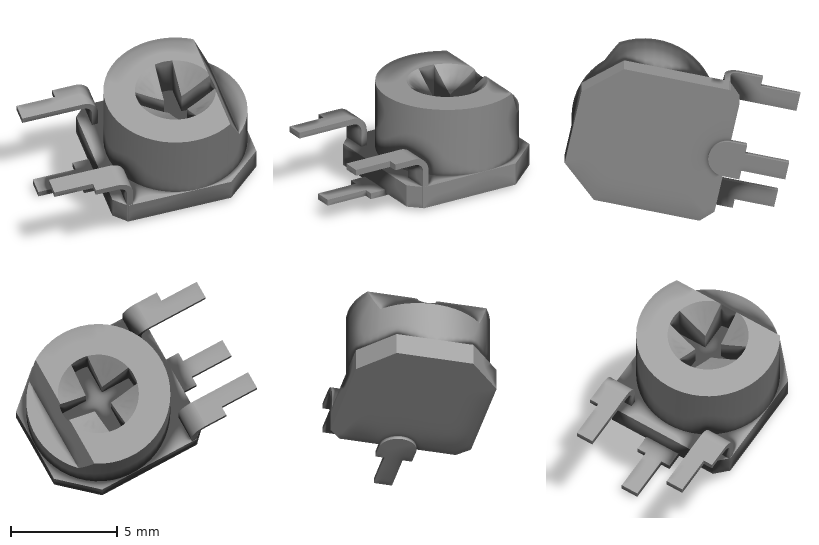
import cadquery as cq
import math

base_width = 6.81
base_back = 3.4
base_front = -4.01
base_bottom = 0.16
base_top = 1.26
back_flat_half = 1.85
back_corner_y = 1.67
front_chamfer = 0.6

housing_radius = 3.39
housing_top = 4.65
ledge_z = 3.3
ledge_front_y = 2.39
slope_top_y = 1.79

recess_radius = 1.91
cone_depth = 1.48
slot_width = 0.87
slot_depth = 2.04

pin_thickness = 0.3
pin_width = 0.87
pin_end = -6.9
side_pin_top = 2.8
side_pin_back = -3.16
side_pin_inner_x = 2.07
side_pin_step_y = -5.01
bend_outer = 0.74
bend_inner = bend_outer - pin_thickness
centre_pad_width = 1.77
centre_step_y = -4.79


def make_base():
    half = base_width / 2
    right_side = [
        (back_flat_half, base_back),
        (half, back_corner_y),
        (half, base_front + front_chamfer),
        (half - front_chamfer, base_front),
    ]
    left_side = [(-x, y) for x, y in reversed(right_side)]
    outline = cq.Workplane("XY").workplane(offset=base_bottom).polyline(right_side + left_side).close()
    return outline.extrude(base_top - base_bottom)


def make_housing():
    housing = (
        cq.Workplane("XY")
        .workplane(offset=base_bottom)
        .circle(housing_radius)
        .extrude(housing_top - base_bottom)
    )
    ledge_cut = (
        cq.Workplane("YZ")
        .polyline([
            (slope_top_y, housing_top),
            (ledge_front_y, ledge_z),
            (base_back, ledge_z),
            (base_back, housing_top),
        ])
        .close()
        .extrude(housing_radius, both=True)
    )
    return housing.cut(ledge_cut)


def make_recess():
    cone = cq.Workplane(
        cq.Solid.makeCone(0, recess_radius, cone_depth, pnt=cq.Vector(0, 0, housing_top - cone_depth))
    )
    floor = cq.Workplane("XY").workplane(offset=housing_top - slot_depth)
    slot_length = 2 * recess_radius
    cross = floor.rect(slot_length, slot_width).extrude(slot_depth)
    cross = cross.union(floor.rect(slot_width, slot_length).extrude(slot_depth))
    cross = cross.intersect(floor.circle(recess_radius).extrude(slot_depth))
    return cone.union(cross)


def make_side_pin():
    """Right-hand pin: rises from the base, bends forward and narrows on its outer side."""
    bend_y = side_pin_back - bend_outer
    bend_z = side_pin_top - bend_outer
    diagonal = math.sqrt(0.5)
    profile = (
        cq.Workplane("YZ")
        .workplane(offset=side_pin_inner_x)
        .moveTo(side_pin_back, base_bottom)
        .lineTo(side_pin_back, bend_z)
        .threePointArc(
            (bend_y + bend_outer * diagonal, bend_z + bend_outer * diagonal),
            (bend_y, side_pin_top),
        )
        .lineTo(pin_end, side_pin_top)
        .lineTo(pin_end, side_pin_top - pin_thickness)
        .lineTo(bend_y, side_pin_top - pin_thickness)
        .threePointArc(
            (bend_y + bend_inner * diagonal, bend_z + bend_inner * diagonal),
            (bend_y + bend_inner, bend_z),
        )
        .lineTo(side_pin_back - pin_thickness, base_bottom)
        .close()
    )
    pin = profile.extrude(housing_radius - side_pin_inner_x)
    step = cq.Workplane("XY").box(
        housing_radius - side_pin_inner_x - pin_width,
        side_pin_step_y - pin_end,
        side_pin_top,
        centered=False,
    )
    return pin.cut(step.translate((side_pin_inner_x + pin_width, pin_end, 0)))


def make_centre_pin():
    """Flat pin under the base: round at the back, wide pad, narrow tip."""
    pad_half = centre_pad_width / 2
    tip_half = pin_width / 2
    return (
        cq.Workplane("XY")
        .moveTo(pad_half, base_front)
        .threePointArc((0, base_front + pad_half), (-pad_half, base_front))
        .lineTo(-pad_half, centre_step_y)
        .lineTo(-tip_half, centre_step_y)
        .lineTo(-tip_half, pin_end)
        .lineTo(tip_half, pin_end)
        .lineTo(tip_half, centre_step_y)
        .lineTo(pad_half, centre_step_y)
        .close()
        .extrude(pin_thickness)
    )


side_pin = make_side_pin()
body = make_base().union(make_housing()).cut(make_recess())
result = body.union(side_pin).union(side_pin.mirror("YZ")).union(make_centre_pin())